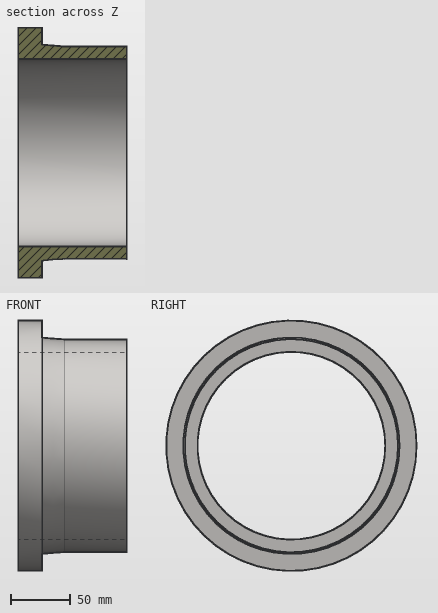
import cadquery as cq

total_length = 92.0
flange_diameter = 212.0
flange_thickness = 20.4
pipe_diameter = 180.2
bore_diameter = 158.5
hub_diameter = 183.2
hub_length = 18.7

flange_radius = flange_diameter / 2
pipe_radius = pipe_diameter / 2
bore_radius = bore_diameter / 2
hub_radius = hub_diameter / 2
hub_end = flange_thickness + hub_length

half_section = [
    (0, bore_radius),
    (0, flange_radius),
    (flange_thickness, flange_radius),
    (flange_thickness, hub_radius),
    (hub_end, pipe_radius),
    (total_length, pipe_radius),
    (total_length, bore_radius),
]

result = cq.Workplane("XY").polyline(half_section).close().revolve(360, (0, 0, 0), (1, 0, 0))